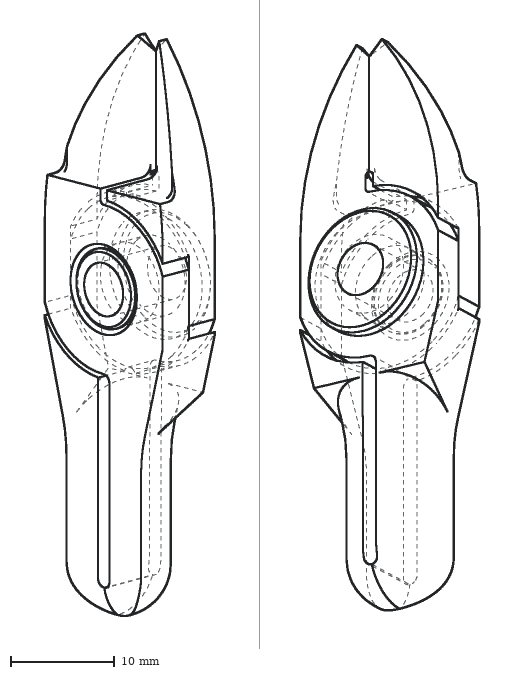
import cadquery as cq
import math


total_length = 57.0
tip_z = 24.0
thickness = 7.2
lap_y = thickness / 2
total_width = 16.0
half_width = total_width / 2
margin = 2.85

jaw_arc_z = 5.4
tip_half_gap = 1.5
jaw_floor_z = 10.05
bevel_angle = 35.0
bevel_half_width = 7.1
bevel_depth = bevel_half_width * math.tan(math.radians(bevel_angle))
floor_fillet = 1.0
upper_slot_width = 0.85
upper_slot_top_z = 10.55

disc_radius = 8.5
socket_radius = 9.0

handle_half_width = 5.1
handle_center_z = tip_z - total_length + handle_half_width
taper_start_z = -4.45
taper_angle = 14.7
taper_blend_radius = 15.0
lower_slot_width = 1.55
lower_slot_bottom_z = -29.9
back_round_depth = 5.3
shoulder_back_z = -10.5
front_round_radius = 5.2
front_round_z = -29.0

pin_radius = 4.0
pin_chamfer = 0.3
pin_bore_diameter = 5.3
pin_head_diameter = 12.6
pin_head_thickness = 1.55
pin_head_chamfer = 0.4
pivot_countersink = 0.5

taper_rad = math.radians(taper_angle)
taper_corner_z = taper_start_z - (half_width - handle_half_width) / math.tan(taper_rad)
blend_tangent = taper_blend_radius * math.tan(taper_rad / 2)
blend_low = (handle_half_width, taper_corner_z - blend_tangent)
blend_mid = (
    handle_half_width + taper_blend_radius * (1 - math.cos(taper_rad / 2)),
    blend_low[1] + taper_blend_radius * math.sin(taper_rad / 2),
)
blend_high = (
    handle_half_width + blend_tangent * math.sin(taper_rad),
    taper_corner_z + blend_tangent * math.cos(taper_rad),
)


def front_plane(y):
    """Sketch plane parallel to XZ at depth y; extruding goes towards +Y."""
    return cq.Workplane(cq.Plane(origin=(0, y, 0), xDir=(1, 0, 0), normal=(0, -1, 0)))


def box(x_range, y_range, z_range):
    sizes = [high - low for low, high in (x_range, y_range, z_range)]
    return cq.Workplane().box(*sizes, centered=False).translate((x_range[0], y_range[0], z_range[0]))


def disc(radius, y_start, y_end):
    return front_plane(y_start).circle(radius).extrude(y_start - y_end)


def mirror_pair(shape):
    return shape.union(shape.mirror("YZ"))


def outline_half():
    """Right half of the closed silhouette, full thickness."""
    flank_dx = half_width - tip_half_gap
    flank_dz = tip_z - jaw_arc_z
    flank_radius = (flank_dx**2 + flank_dz**2) / (2 * flank_dx)
    half_sweep = math.asin(flank_dz / flank_radius) / 2
    flank_mid = (
        half_width - flank_radius * (1 - math.cos(half_sweep)),
        jaw_arc_z + flank_radius * math.sin(half_sweep),
    )
    end_diagonal = handle_half_width * math.sqrt(0.5)
    return (
        front_plane(0)
        .moveTo(0, tip_z - tip_half_gap)
        .lineTo(tip_half_gap, tip_z)
        .threePointArc(flank_mid, (half_width, jaw_arc_z))
        .lineTo(half_width, taper_start_z)
        .lineTo(*blend_high)
        .threePointArc(blend_mid, blend_low)
        .lineTo(handle_half_width, handle_center_z)
        .threePointArc(
            (end_diagonal, handle_center_z - end_diagonal),
            (0, handle_center_z - handle_half_width),
        )
        .close()
        .extrude(-thickness)
    )


def slot(width, z_low, z_high):
    """Round-ended slot on the centre line, through the full thickness."""
    return (
        front_plane(-margin)
        .center(0, (z_low + z_high) / 2)
        .slot2D(z_high - z_low, width, 90)
        .extrude(-(thickness + 2 * margin))
    )


def bevel_prism(z_low):
    """Space in front of the V-shaped cutting faces and the flat lands beside them."""
    land_y = thickness - bevel_depth
    side = half_width + margin
    return (
        cq.Workplane("XY", origin=(0, 0, z_low))
        .polyline([
            (-side, -margin), (side, -margin), (side, land_y), (bevel_half_width, land_y),
            (0, thickness), (-bevel_half_width, land_y), (-side, land_y),
        ])
        .close()
        .extrude(tip_z + margin - z_low)
    )


def jaw_bevel():
    """Bevel cut with a filleted floor; the fillet stops at the sides of the upper slot."""
    half_slot = upper_slot_width / 2
    filleted = (
        bevel_prism(jaw_floor_z)
        .faces("<Z").edges(cq.selectors.BoxSelector(
            (-half_width - margin, 0, jaw_floor_z - floor_fillet),
            (half_width + margin, thickness, jaw_floor_z + floor_fillet),
        ))
        .fillet(floor_fillet)
    )
    center_strip = box((-half_slot, half_slot), (-margin, thickness), (jaw_floor_z, tip_z))
    return filleted.union(bevel_prism(jaw_floor_z).intersect(center_strip))


def rounding_profile(plane_z):
    """Elliptical corner between the handle side and the back face, open to the outside."""
    spring_y = thickness - back_round_depth
    outer_x = handle_half_width + margin
    outer_y = thickness + margin
    return (
        cq.Workplane("XY", origin=(0, 0, plane_z))
        .moveTo(handle_half_width, spring_y)
        .lineTo(outer_x, spring_y)
        .lineTo(outer_x, outer_y)
        .lineTo(0, outer_y)
        .lineTo(0, thickness)
        .ellipseArc(handle_half_width, back_round_depth, 0, 90, sense=-1)
        .close()
    )


def back_rounding():
    """Material removed from the back of the right handle, up to the sloping shoulder."""
    path = (
        front_plane(0)
        .moveTo(handle_half_width, handle_center_z)
        .lineTo(*blend_low)
        .threePointArc(blend_mid, blend_high)
        .lineTo(half_width, taper_start_z)
    )
    along_side = rounding_profile(handle_center_z).sweep(path)
    spring_y = thickness - back_round_depth
    slope = (shoulder_back_z - blend_high[1]) / back_round_depth
    below_shoulder = (
        cq.Workplane("YZ")
        .polyline([
            (spring_y, -total_length),
            (spring_y, blend_high[1]),
            (thickness + margin, shoulder_back_z + slope * margin),
            (thickness + margin, -total_length),
        ])
        .close()
        .extrude(half_width + margin)
    )
    around_end = rounding_profile(handle_center_z).revolve(90, (0, 0, 0), (0, 1, 0))
    return along_side.intersect(below_shoulder).union(around_end)


def front_rounding():
    """Cylindrical rounding across the front of the handle ends."""
    bottom_z = front_round_z - front_round_radius
    corner = box(
        (-half_width, half_width), (-margin, front_round_radius), (bottom_z - margin, front_round_z)
    )
    roller = (
        cq.Workplane("YZ", origin=(-half_width, 0, 0))
        .center(front_round_radius, front_round_z)
        .circle(front_round_radius)
        .extrude(2 * half_width)
    )
    return corner.cut(roller)


def full_plate():
    """Both halves together, before the lap joint divides them."""
    plate = mirror_pair(outline_half().cut(back_rounding()))
    return (
        plate.cut(front_rounding())
        .cut(jaw_bevel())
        .cut(slot(upper_slot_width, disc_radius, upper_slot_top_z))
        .cut(slot(lower_slot_width, lower_slot_bottom_z, -disc_radius))
        .cut(disc(pin_radius, 0, thickness))
    )


def plier_half(plate, jaw_side, disc_y, socket_y):
    """One half: jaw on jaw_side (-1 left, 1 right), handle on the other side.

    Its hinge disc fills disc_y; the socket for the other half's disc fills socket_y.
    """
    def side_range(side):
        return (0, half_width) if side > 0 else (-half_width, 0)

    jaw_zone = box(side_range(jaw_side), (0, thickness), (0, tip_z))
    handle_zone = box(side_range(-jaw_side), (0, thickness), (tip_z - total_length, 0))
    zone = (
        jaw_zone.union(handle_zone)
        .cut(disc(socket_radius, *socket_y))
        .union(disc(disc_radius, *disc_y))
    )
    return plate.intersect(zone)


def pivot_countersink_cone():
    return cq.Workplane(cq.Solid.makeCone(
        pin_radius + pivot_countersink, pin_radius, pivot_countersink,
        pnt=cq.Vector(0, 0, 0), dir=cq.Vector(0, 1, 0),
    ))


def pivot_pin():
    shank = disc(pin_radius, 0, thickness).faces("<Y").chamfer(pin_chamfer)
    head = (
        disc(pin_head_diameter / 2, thickness, thickness + pin_head_thickness)
        .faces(">Y").chamfer(pin_head_chamfer)
    )
    return shank.union(head).cut(disc(pin_bore_diameter / 2, 0, thickness + pin_head_thickness))


front_lap = (0, lap_y)
back_lap = (lap_y, thickness)

plate = full_plate()
left_jaw_half = plier_half(plate, -1, front_lap, back_lap).cut(pivot_countersink_cone())
right_jaw_half = plier_half(plate, 1, back_lap, front_lap)
pin = pivot_pin()

result = cq.Compound.makeCompound([
    left_jaw_half.solids().val(),
    right_jaw_half.solids().val(),
    pin.solids().val(),
])